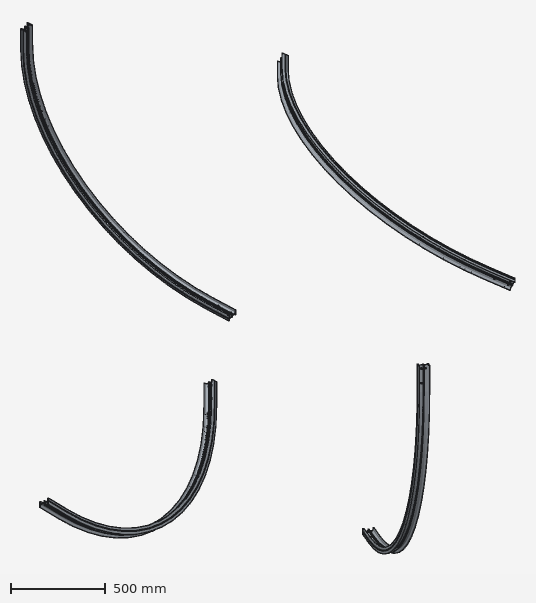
import cadquery as cq

overall = 1367.0
rail_width = 62.0
rail_depth = 35.0
lead_length = 150.0
bend_radius = overall - lead_length

wall_thickness = 7.0
web_thickness = 5.0
rib_width = 4.0
rib_setback = 5.0
root_fillet = 3.1
tip_fillet = 1.6
groove_width = 5.0
groove_depth = 1.1

index_hole_diameter = 8.0
index_hole_from_end = 101.0
index_hole_offset = 11.0
pin_hole_diameter = 8.0
pin_hole_from_end = 20.0
pin_hole_offset = 11.0


def extrude_lead(sketch):
    """Straight length of the given cross-section, from the end of the bend to the end of the rail."""
    return cq.Workplane("YZ", origin=(bend_radius, 0, 0)).placeSketch(sketch).extrude(lead_length)


def revolve_bend(sketch):
    """Quarter turn of the given cross-section around the centre of the bend."""
    start = cq.Workplane("YZ", origin=(bend_radius, 0, 0)).placeSketch(sketch)
    return start.revolve(90, (0, bend_radius, 0), (1, bend_radius, 0))


def rounded_wall():
    """Section of one side wall, centred on the origin, with its four corners rounded."""
    return cq.Sketch().rect(wall_thickness, rail_depth).vertices().fillet(tip_fillet)


def rail_section():
    """Cross-section with its width along x and the outside of the bend at y = 0."""
    mid_depth = rail_depth / 2
    inner_width = rail_width - 2 * wall_thickness
    wall_x = (rail_width - wall_thickness) / 2
    wall_centres = [(-wall_x, mid_depth), (wall_x, mid_depth)]
    groove_radius = (groove_width**2 / 4 + groove_depth**2) / (2 * groove_depth)
    groove_x = rail_width / 2 - groove_depth + groove_radius
    groove_centres = [(-groove_x, mid_depth), (groove_x, mid_depth)]
    section = cq.Sketch().push([(0, mid_depth)]).rect(inner_width, web_thickness).reset()
    section = section.push(wall_centres).face(rounded_wall()).reset().clean()
    inner_corners = cq.selectors.BoxSelector(
        (-rail_width / 2, mid_depth - web_thickness, -14),
        (rail_width / 2, mid_depth + web_thickness, 14),
    )
    section = section.vertices(inner_corners).fillet(root_fillet).reset()
    section = section.push(groove_centres).circle(groove_radius, mode="s").reset()
    section = section.push([(0, mid_depth)]).rect(rib_width, rail_depth - 2 * rib_setback)
    return section.reset().clean()


def web_holes(points, diameter):
    """Cutters through the depth of the horizontal lead."""
    return cq.Workplane("XY").pushPoints(points).circle(diameter / 2).extrude(rail_depth)


def drilled_lead():
    pin_x = overall - pin_hole_from_end
    pins = web_holes([(pin_x, -pin_hole_offset), (pin_x, pin_hole_offset)], pin_hole_diameter)
    index = web_holes([(overall - index_hole_from_end, index_hole_offset)], index_hole_diameter)
    return extrude_lead(rail_section()).cut(pins).cut(index)


def upright_lead(lead):
    """The horizontal lead carried round to the top end of the bend."""
    centre = (bend_radius, 0, bend_radius)
    turned = lead.rotate(centre, (bend_radius, 1, bend_radius), 90)
    return turned.mirror("XY", centre)


lead = drilled_lead()
result = revolve_bend(rail_section()).union(lead).union(upright_lead(lead))